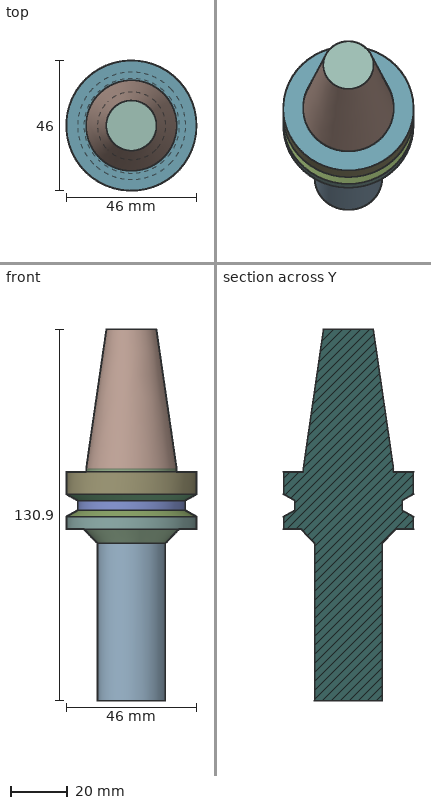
import cadquery as cq

shank_diameter = 24.0
collar_diameter = 33.5
flange_diameter = 46.0
groove_diameter = 38.0
taper_base_diameter = 32.0
taper_tip_diameter = 17.7

shank_top = 55.5
flange_bottom = 60.5
lower_rim_top = 64.9
groove_bottom = 67.2
groove_top = 70.5
upper_rim_bottom = 72.8
flange_top = 80.6
taper_bottom = 81.8
overall_height = 130.9

profile = [
    (shank_diameter, 0),
    (shank_diameter, shank_top),
    (collar_diameter, flange_bottom),
    (flange_diameter, flange_bottom),
    (flange_diameter, lower_rim_top),
    (groove_diameter, groove_bottom),
    (groove_diameter, groove_top),
    (flange_diameter, upper_rim_bottom),
    (flange_diameter, flange_top),
    (taper_base_diameter, flange_top),
    (taper_base_diameter, taper_bottom),
    (taper_tip_diameter, overall_height),
]
outer_points = [(diameter / 2, height) for diameter, height in profile]

half_section = cq.Workplane("XZ").polyline([(0, 0)] + outer_points + [(0, overall_height)]).close()
result = half_section.revolve(360, (0, 0, 0), (0, 1, 0))